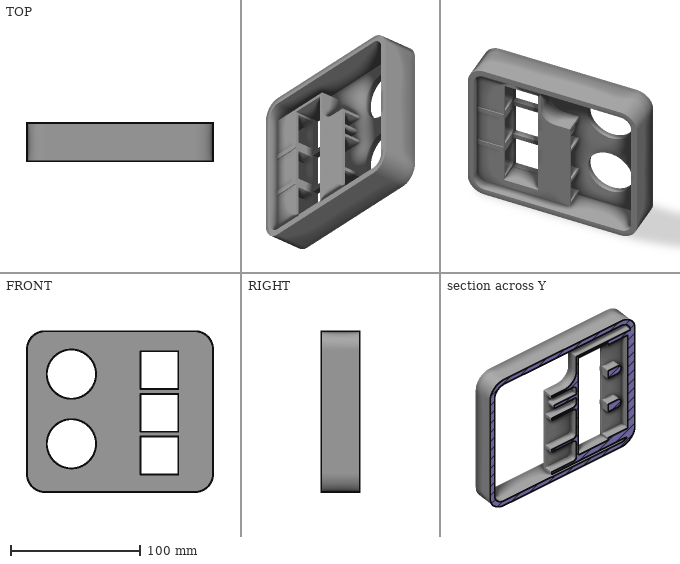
import cadquery as cq

WIDTH = 144.42
DEPTH = 30.0
HEIGHT = 124.86
CORNER_RADIUS = 14.2
WALL = 5.0
FRONT_Y = -DEPTH / 2
PANEL_BACK_Y = FRONT_Y + WALL
INNER_RIGHT_X = WIDTH / 2 - WALL

ROUND_DIAMETER = 38.0
ROUND_X = -37.65
ROUND_SPACING = 54.0
ROUND_MIDDLE_Z = 2.05

SQUARE_SIZE = 29.1
SQUARE_PITCH = 33.1
SQUARE_COUNT = 3
SQUARE_GAP = SQUARE_PITCH - SQUARE_SIZE
SQUARE_X = 30.5
COLUMN_MIDDLE_Z = -0.9
SQUARE_LEFT_X = SQUARE_X - SQUARE_SIZE / 2
SQUARE_RIGHT_X = SQUARE_X + SQUARE_SIZE / 2
COLUMN_HEIGHT = (SQUARE_COUNT - 1) * SQUARE_PITCH + SQUARE_SIZE
COLUMN_BOTTOM_Z = COLUMN_MIDDLE_Z - COLUMN_HEIGHT / 2

HOUSING_BACK_Y = 7.2
HOUSING_WALL = 2.5
RIB_HEIGHT = 0.7
FLOOR_DROP = 0.4
POCKET_BACK_Y = HOUSING_BACK_Y - HOUSING_WALL
HOUSING_LEFT_X = SQUARE_LEFT_X - HOUSING_WALL
HOUSING_TOP_Z = COLUMN_BOTTOM_Z + COLUMN_HEIGHT + HOUSING_WALL

SIDE_POCKET_EDGE = 2.0
SIDE_POCKET_HEIGHT = SQUARE_SIZE - 2 * SIDE_POCKET_EDGE
SIDE_POCKET_RADIUS = 3.5
SIDE_POCKET_END_X = INNER_RIGHT_X - HOUSING_WALL
FINGER_LENGTH = 13.4
FINGER_HEIGHT = SQUARE_PITCH - SIDE_POCKET_HEIGHT
NOSE_X = SQUARE_RIGHT_X + FINGER_LENGTH - FINGER_HEIGHT / 2

WING_LEFT_X = -11.25
WING_BOTTOM_Z = -55.35
WING_TOP_Z = 22.5
WING_FILLET = 12.0
WING_POCKET_SPANS = [(-52.7, -33.3), (-30.3, -2.0), (0.5, 20.0)]
WING_POCKET_RADIUS = 3.0
PEG_LEFT_X = -8.75
PEG_Z = 10.3
PEG_HEIGHT = 3.6
PEG_NOSE_FRACTION = 0.49


def block(x_range, y_range, z_range):
    """Box spanning the given coordinate ranges."""
    spans = [high - low for low, high in (x_range, y_range, z_range)]
    corner = (x_range[0], y_range[0], z_range[0])
    return cq.Workplane("XY").box(*spans, centered=False).translate(corner)


def square_centres():
    """Heights of the square openings."""
    middle = (SQUARE_COUNT - 1) / 2
    return [COLUMN_MIDDLE_Z + (i - middle) * SQUARE_PITCH for i in range(SQUARE_COUNT)]


def shell():
    """Box with a front panel and four walls."""
    outer = cq.Workplane("XY").box(WIDTH, DEPTH, HEIGHT).edges("|Y").fillet(CORNER_RADIUS)
    cavity = (
        cq.Workplane("XY")
        .box(WIDTH - 2 * WALL, DEPTH, HEIGHT - 2 * WALL)
        .edges("|Y")
        .fillet(CORNER_RADIUS - WALL)
        .translate((0, WALL, 0))
    )
    return outer.cut(cavity)


def housing():
    """Frame around the square column with the pocketed side on its right."""
    y_range = (PANEL_BACK_Y, HOUSING_BACK_Y)
    body = block((HOUSING_LEFT_X, INNER_RIGHT_X), y_range, (WING_BOTTOM_Z, HOUSING_TOP_Z))
    column = block(
        (SQUARE_LEFT_X, SQUARE_RIGHT_X),
        y_range,
        (COLUMN_BOTTOM_Z - FLOOR_DROP, COLUMN_BOTTOM_Z + COLUMN_HEIGHT),
    )
    return body.cut(column).cut(side_pockets()).union(rear_ribs())


def side_pockets():
    """Mouths beside the squares, opening into one chamber past the round finger noses."""
    pocket_y = (PANEL_BACK_Y, POCKET_BACK_Y)
    half = SIDE_POCKET_HEIGHT / 2
    centres = square_centres()
    pockets = block((NOSE_X, SIDE_POCKET_END_X), pocket_y, (centres[0] - half, centres[-1] + half))
    for lower, upper in zip(centres, centres[1:]):
        middle = (lower + upper) / 2
        nose = (
            cq.Workplane("XZ", origin=(NOSE_X, POCKET_BACK_Y, middle))
            .circle(FINGER_HEIGHT / 2)
            .extrude(POCKET_BACK_Y - PANEL_BACK_Y)
        )
        pockets = pockets.cut(nose)
    for z in centres:
        mouth = block((SQUARE_RIGHT_X, NOSE_X), pocket_y, (z - half, z + half))
        pockets = pockets.union(mouth.edges("|X and <Y").fillet(SIDE_POCKET_RADIUS))
    return pockets


def rear_ribs():
    """Lips standing proud of the housing back, on the right between the squares."""
    y_range = (HOUSING_BACK_Y, HOUSING_BACK_Y + RIB_HEIGHT)
    x_range = (SQUARE_RIGHT_X, INNER_RIGHT_X)
    ribs = cq.Workplane("XY")
    for z in square_centres()[1:]:
        top = z - SQUARE_SIZE / 2
        ribs = ribs.add(block(x_range, y_range, (top - SQUARE_GAP, top)))
    return ribs.combine()


def wing():
    """Pocketed block left of the housing, blended into it by a concave fillet."""
    y_range = (PANEL_BACK_Y, HOUSING_BACK_Y)
    body = block((WING_LEFT_X, HOUSING_LEFT_X), y_range, (WING_BOTTOM_Z, WING_TOP_Z))
    blend = (
        cq.Workplane("XZ", origin=(0, HOUSING_BACK_Y, 0))
        .moveTo(HOUSING_LEFT_X, WING_TOP_Z)
        .lineTo(HOUSING_LEFT_X, WING_TOP_Z + WING_FILLET)
        .radiusArc((HOUSING_LEFT_X - WING_FILLET, WING_TOP_Z), WING_FILLET)
        .close()
        .extrude(HOUSING_BACK_Y - PANEL_BACK_Y)
    )
    for z_range in WING_POCKET_SPANS:
        pocket = block((WING_LEFT_X, HOUSING_LEFT_X), (PANEL_BACK_Y, POCKET_BACK_Y), z_range)
        body = body.cut(pocket.edges("|Y and >X").fillet(WING_POCKET_RADIUS))
    return body.union(blend).union(peg())


def peg():
    """Round-nosed finger in the top wing pocket."""
    finger = block(
        (PEG_LEFT_X, HOUSING_LEFT_X),
        (PANEL_BACK_Y, HOUSING_BACK_Y),
        (PEG_Z - PEG_HEIGHT / 2, PEG_Z + PEG_HEIGHT / 2),
    )
    return finger.edges("|Y and <X").fillet(PEG_HEIGHT * PEG_NOSE_FRACTION)


def panel_openings():
    """Cutters for the round and square openings, through the front panel."""
    cutters = cq.Workplane("XZ", origin=(0, PANEL_BACK_Y, 0))
    rounds = [(ROUND_X, ROUND_MIDDLE_Z + side * ROUND_SPACING / 2) for side in (-1, 1)]
    squares = [(SQUARE_X, z) for z in square_centres()]
    round_holes = cutters.pushPoints(rounds).circle(ROUND_DIAMETER / 2).extrude(WALL)
    square_holes = cutters.pushPoints(squares).rect(SQUARE_SIZE, SQUARE_SIZE).extrude(WALL)
    return round_holes.union(square_holes)


result = shell().union(housing()).union(wing()).cut(panel_openings())